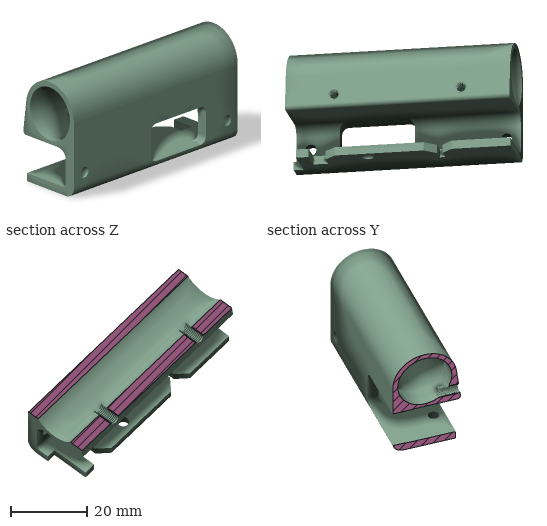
import cadquery as cq
import math


length = 60.0
tube_radius = 9.0
bore_diameter = 15.0
flank_angle = math.radians(7.3)
body_bottom = -8.5
flank_corner_radius = 1.0
overall_height = 30.5
foot_bottom = tube_radius - overall_height
foot_thickness = 2.3
foot_top = foot_bottom + foot_thickness
foot_edge = -8.7
wall_thickness = 3.05
wall_inner = tube_radius - wall_thickness
upper_fillet = 2.9
lower_fillet = 1.0
outer_corner_radius = 3.0

window_start = -1.75
window_length = 20.1
window_corner_radius = 2.0
screw_hole_diameter = 3.0
wall_hole_offset = 26.15
wall_hole_height = -15.0

notch_end = -1.9
notch_chamfer = 3.0
front_notch_low = -11.35
front_notch_high = -9.85
rear_notch_low = 20.0
rear_notch_high = 23.95
finger_outer = 27.35
end_step = 2.1
foot_hole_x = -5.6
foot_hole_y = 8.7

insert_diameter = 3.0
insert_offset = 17.0
insert_height = -5.0
insert_start = -9.95
insert_length = 6.35
coil_pitch = 0.5
coil_clearance = 0.01
wire_depth = 0.3
wire_outer_width = 0.4
wire_inner_width = 0.2


def make_profile():
    """Extrude the outline of the tube body, wall and foot, with rounded corners."""
    tangent_x = -tube_radius * math.cos(flank_angle)
    tangent_z = tube_radius * math.sin(flank_angle)
    flank_foot_x = tangent_x - (tangent_z - body_bottom) * math.tan(flank_angle)
    profile = (
        cq.Workplane("XZ", origin=(0, length / 2, 0))
        .moveTo(tube_radius, 0)
        .threePointArc((0, tube_radius), (tangent_x, tangent_z))
        .lineTo(flank_foot_x, body_bottom)
        .lineTo(wall_inner, body_bottom)
        .lineTo(wall_inner, foot_top)
        .lineTo(foot_edge, foot_top)
        .lineTo(foot_edge, foot_bottom)
        .lineTo(tube_radius, foot_bottom)
        .close()
        .extrude(length)
    )
    corners = (
        (flank_foot_x, body_bottom, flank_corner_radius),
        (wall_inner, body_bottom, upper_fillet),
        (wall_inner, foot_top, lower_fillet),
        (tube_radius, foot_bottom, outer_corner_radius),
    )
    for x, z, radius in corners:
        profile = profile.edges(cq.selectors.NearestToPointSelector((x, 0, z))).fillet(radius)
    return profile


def cylinder_along_x(diameter, start, span, y, z):
    return cq.Workplane("YZ", origin=(start, y, z)).circle(diameter / 2).extrude(span)


def make_bore():
    return cq.Workplane("XZ", origin=(0, length / 2, 0)).circle(bore_diameter / 2).extrude(length)


def make_window():
    """Rounded opening through the wall, from the foot up to the tube body."""
    height = body_bottom - foot_top
    centre = (wall_inner - upper_fillet, window_start + window_length / 2, foot_top + height / 2)
    return (
        cq.Workplane("YZ", origin=centre)
        .rect(window_length, height)
        .extrude(wall_thickness + upper_fillet)
        .edges("|X")
        .fillet(window_corner_radius)
    )


def cut_foot_shape(points):
    return cq.Workplane("XY", origin=(0, 0, foot_bottom)).polyline(points).close().extrude(foot_thickness)


def make_front_notch():
    """Narrow notch with a chamfer on each side of its mouth."""
    chamfer_end = foot_edge + notch_chamfer
    return cut_foot_shape([
        (foot_edge, front_notch_low - notch_chamfer),
        (chamfer_end, front_notch_low),
        (notch_end, front_notch_low),
        (notch_end, front_notch_high),
        (chamfer_end, front_notch_high),
        (foot_edge, front_notch_high + notch_chamfer),
    ])


def make_rear_notch():
    """Notch beside the finger, chamfered on the side away from the finger."""
    return cut_foot_shape([
        (foot_edge, rear_notch_low - notch_chamfer),
        (foot_edge + notch_chamfer, rear_notch_low),
        (notch_end, rear_notch_low),
        (notch_end, rear_notch_high),
        (foot_edge, rear_notch_high),
    ])


def make_end_step():
    return cut_foot_shape([
        (foot_edge, finger_outer),
        (end_step, finger_outer),
        (end_step, length / 2),
        (foot_edge, length / 2),
    ])


def make_foot_hole():
    return (
        cq.Workplane("XY", origin=(foot_hole_x, foot_hole_y, foot_bottom))
        .circle(screw_hole_diameter / 2)
        .extrude(foot_thickness)
    )


def make_housing():
    housing = make_profile().cut(make_bore()).cut(make_window())
    housing = housing.cut(make_front_notch()).cut(make_rear_notch())
    housing = housing.cut(make_end_step()).cut(make_foot_hole())
    for side in (-1, 1):
        housing = housing.cut(cylinder_along_x(
            screw_hole_diameter, wall_inner, wall_thickness, side * wall_hole_offset, wall_hole_height))
        housing = housing.cut(cylinder_along_x(
            insert_diameter, -tube_radius - wall_thickness, tube_radius + wall_thickness,
            side * insert_offset, insert_height))
    return housing


def make_insert(y):
    """Coil of tapered wire, wound along X with its flat side facing the hole."""
    outer_radius = insert_diameter / 2 - coil_clearance
    inner_radius = outer_radius - wire_depth
    helix = cq.Wire.makeHelix(coil_pitch, insert_length - wire_outer_width, outer_radius)
    coil = (
        cq.Workplane("XZ")
        .polyline([
            (outer_radius, -wire_outer_width / 2),
            (outer_radius, wire_outer_width / 2),
            (inner_radius, wire_inner_width / 2),
            (inner_radius, -wire_inner_width / 2),
        ])
        .close()
        .sweep(cq.Workplane(obj=helix), isFrenet=True)
    )
    start = insert_start + wire_outer_width / 2
    return coil.rotate((0, 0, 0), (0, 1, 0), 90).translate((start, y, insert_height))


housing = make_housing()
inserts = [make_insert(side * insert_offset) for side in (-1, 1)]

result = cq.Compound.makeCompound([housing.val(), *[insert.val() for insert in inserts]])